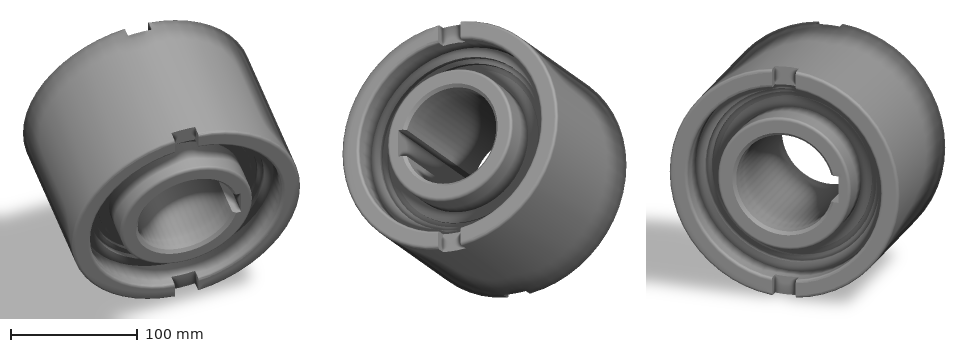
import cadquery as cq

width = 125.0
outer_radius = 95.0
edge_break = 2.5

ring_bore_radius = 80.0
hub_radius = 55.0
bore_radius = 40.0
recess_depth = 23.0

ledge_outer_radius = 72.2
ledge_depth = 27.2
groove_outer_radius = 68.0
groove_inner_radius = 63.8
groove_depth = 30.2
inner_face_depth = 29.3

keyway_width = 22.0
keyway_reach = 45.2

slot_width = 19.8
slot_depth = 9.0


def tube(outer, inner, length):
    """Tube along X, centred on the origin."""
    return cq.Workplane("YZ").circle(outer).circle(inner).extrude(length).translate((-length / 2, 0, 0))


def make_body():
    ring = tube(outer_radius, ring_bore_radius, width)
    ring = ring.faces("<X or >X").edges().fillet(edge_break)

    innermost_edges = cq.selectors.RadiusNthSelector(0)
    outermost_edges = cq.selectors.RadiusNthSelector(-1)
    hub = tube(hub_radius, bore_radius, width)
    hub = hub.faces("<X or >X").edges(outermost_edges).fillet(edge_break)
    hub = hub.faces("<X or >X").edges(innermost_edges).chamfer(edge_break)

    web_steps = [
        (ring_bore_radius, ledge_outer_radius, recess_depth),
        (ledge_outer_radius, groove_outer_radius, ledge_depth),
        (groove_outer_radius, groove_inner_radius, groove_depth),
        (groove_inner_radius, hub_radius, inner_face_depth),
    ]
    body = ring.union(hub)
    for outer, inner, depth in web_steps:
        body = body.union(tube(outer, inner, width - 2 * depth))
    return body


def make_keyway():
    return cq.Workplane("XY").box(width, keyway_reach, keyway_width, centered=(True, False, True))


def make_end_slots():
    """One bar across each end face, stopped short of the web so that the hub stays whole."""
    bar_length = 2 * outer_radius
    bars = (
        cq.Workplane("XY")
        .pushPoints([(-width / 2, 0), (width / 2, 0)])
        .box(2 * slot_depth, slot_width, bar_length)
    )
    hub_clearance = cq.Workplane("YZ").circle(ledge_outer_radius).extrude(width, both=True)
    return bars.cut(hub_clearance)


result = make_body().cut(make_keyway()).cut(make_end_slots())